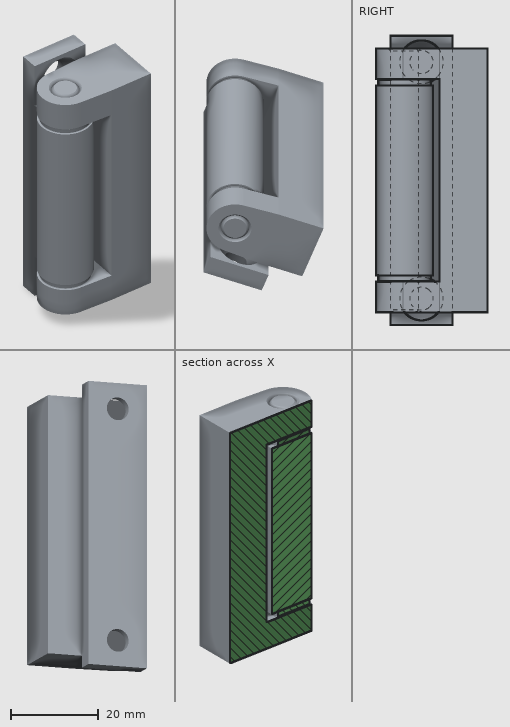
import cadquery as cq
import math

PLATE_HEIGHT = 66.0
PLATE_THICKNESS = 4.5
PLATE_LEFT_X = -12.0
PLATE_FRONT_Y = -3.25
PLATE_BACK_Y = 10.95

BARREL_RADIUS = 6.55
BARREL_HEIGHT = 43.3

BRACKET_HEIGHT = 60.2
BRACKET_WIDTH = 14.0
BRACKET_BACK_Y = 18.95
EAR_HEIGHT = 7.0
TAPER_START_Y = 8.0
POCKET_BACK_Y = 8.0

PIN_RADIUS = 3.25
PIN_CHAMFER = 0.6
EAR_HOLE_CHAMFER = 0.5

WASHER_RADIUS = 6.0
WASHER_CLEARANCE = 0.1

SCREW_HOLE_RADIUS = 2.65
SCREW_HOLE_SPACING = 54.0
COUNTERSINK_RADIUS = 4.95
COUNTERSINK_ANGLE = 90.0

PLATE_RIGHT_X = PLATE_LEFT_X + PLATE_THICKNESS
HALF_BRACKET = BRACKET_WIDTH / 2
EAR_INNER_Z = BRACKET_HEIGHT / 2 - EAR_HEIGHT
WASHER_THICKNESS = EAR_INNER_Z - WASHER_CLEARANCE - BARREL_HEIGHT / 2


def centered_cylinder(radius, height):
    """Cylinder on the hinge axis, centered at mid-height."""
    return cq.Workplane("XY").circle(radius).extrude(height / 2, both=True)


def box_between(x_min, x_max, y_min, y_max, height):
    """Box between X and Y limits, centered at mid-height."""
    return (
        cq.Workplane("XY")
        .center((x_min + x_max) / 2, (y_min + y_max) / 2)
        .box(x_max - x_min, y_max - y_min, height)
    )


def make_barrel_leaf():
    """Screw plate joined by a web to the barrel that turns on the pin."""
    plate = box_between(PLATE_LEFT_X, PLATE_RIGHT_X, PLATE_FRONT_Y, PLATE_BACK_Y, PLATE_HEIGHT)
    web = box_between(PLATE_RIGHT_X, 0, PLATE_FRONT_Y, BARREL_RADIUS, BARREL_HEIGHT)
    barrel = centered_cylinder(BARREL_RADIUS, BARREL_HEIGHT)
    pin_hole = centered_cylinder(PIN_RADIUS, BARREL_HEIGHT)
    leaf = plate.union(web).union(barrel).cut(pin_hole)

    hole_y = (PLATE_FRONT_Y + PLATE_BACK_Y) / 2
    sink_angle = math.radians(COUNTERSINK_ANGLE / 2)
    sink_depth = (COUNTERSINK_RADIUS - SCREW_HOLE_RADIUS) / math.tan(sink_angle)
    for hole_z in (-SCREW_HOLE_SPACING / 2, SCREW_HOLE_SPACING / 2):
        hole = cq.Solid.makeCylinder(
            SCREW_HOLE_RADIUS,
            PLATE_THICKNESS,
            cq.Vector(PLATE_LEFT_X, hole_y, hole_z),
            cq.Vector(1, 0, 0),
        )
        countersink = cq.Solid.makeCone(
            SCREW_HOLE_RADIUS,
            COUNTERSINK_RADIUS,
            sink_depth,
            cq.Vector(PLATE_RIGHT_X - sink_depth, hole_y, hole_z),
            cq.Vector(1, 0, 0),
        )
        leaf = leaf.cut(hole).cut(countersink)
    return leaf


def bracket_profile():
    """Square back, slightly tapered sides and a round nose tangent to them."""
    corner_distance = math.hypot(HALF_BRACKET, TAPER_START_Y)
    corner_angle = math.atan2(TAPER_START_Y, HALF_BRACKET)
    drop_angle = math.acos(BARREL_RADIUS / corner_distance) - corner_angle
    tangent_x = BARREL_RADIUS * math.cos(drop_angle)
    tangent_y = -BARREL_RADIUS * math.sin(drop_angle)
    return (
        cq.Workplane("XY")
        .workplane(offset=-BRACKET_HEIGHT / 2)
        .moveTo(-HALF_BRACKET, BRACKET_BACK_Y)
        .lineTo(HALF_BRACKET, BRACKET_BACK_Y)
        .lineTo(HALF_BRACKET, TAPER_START_Y)
        .lineTo(tangent_x, tangent_y)
        .threePointArc((0, -BARREL_RADIUS), (-tangent_x, tangent_y))
        .lineTo(-HALF_BRACKET, TAPER_START_Y)
        .close()
    )


def make_bracket():
    """Block with an ear above and below the barrel."""
    body = bracket_profile().extrude(BRACKET_HEIGHT)
    pocket = box_between(
        -HALF_BRACKET, HALF_BRACKET, -BARREL_RADIUS, POCKET_BACK_Y, 2 * EAR_INNER_Z
    )
    pin_hole = (
        cq.Workplane("XY")
        .workplane(offset=-BRACKET_HEIGHT / 2)
        .circle(PIN_RADIUS)
        .extrude(BRACKET_HEIGHT)
    )
    bracket = body.cut(pocket).cut(pin_hole)
    outer_hole_rims = bracket.faces("<Z or >Z").edges("%CIRCLE").edges(
        cq.selectors.BoxSelector(
            (-PIN_RADIUS, -PIN_RADIUS, -BRACKET_HEIGHT),
            (PIN_RADIUS, PIN_RADIUS, BRACKET_HEIGHT),
            boundingbox=False,
        )
    )
    return outer_hole_rims.chamfer(EAR_HOLE_CHAMFER)


def make_pin():
    """Hinge pin, flush with the ears and chamfered at both ends."""
    return centered_cylinder(PIN_RADIUS, BRACKET_HEIGHT).faces("<Z or >Z").chamfer(PIN_CHAMFER)


def make_washer(side):
    """Washer on an end of the barrel; side is 1 for the top and -1 for the bottom."""
    return (
        cq.Workplane("XY")
        .workplane(offset=side * BARREL_HEIGHT / 2)
        .circle(WASHER_RADIUS)
        .circle(PIN_RADIUS)
        .extrude(side * WASHER_THICKNESS)
    )


barrel_leaf = make_barrel_leaf()
bracket = make_bracket()
pin = make_pin()
washers = [make_washer(side).val() for side in (-1, 1)]

result = cq.Compound.makeCompound([barrel_leaf.val(), bracket.val(), pin.val(), *washers])